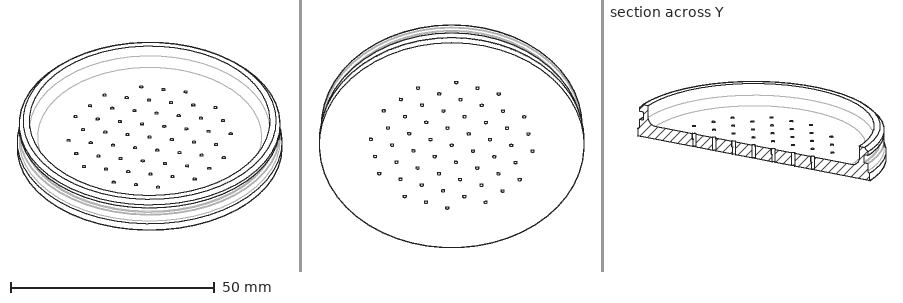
import cadquery as cq
import math

height = 8.5
flange_radius = 32.5
flange_height = 2.0
body_radius = 64.0 / 2
cove_radius = flange_radius - body_radius
rim_bevel = 1.0

groove_radius = 61.8 / 2
groove_bottom = 4.5
groove_top = 6.5
groove_fillet = 0.2
lip_fillet = 0.1

recess_radius = 59.0 / 2
floor_height = 3.45
floor_fillet = 2.0

hole_diameter = 0.8
hole_pitch = 5.5
pattern_radius = 3.8 * hole_pitch


def make_body():
    """Revolve the half section, with a concave cove above the flange and a bevelled rim."""
    cove_reach = cove_radius * (1 - math.sqrt(0.5))
    return (
        cq.Workplane("XZ")
        .lineTo(flange_radius, 0)
        .lineTo(flange_radius, flange_height)
        .threePointArc(
            (body_radius + cove_reach, flange_height + cove_reach),
            (body_radius, flange_height + cove_radius),
        )
        .lineTo(body_radius, height - rim_bevel)
        .lineTo(body_radius - rim_bevel, height)
        .lineTo(0, height)
        .close()
        .revolve(360, (0, 0, 0), (0, 1, 0))
    )


def make_groove():
    """Ring whose inner corners are rounded to form the groove root."""
    return (
        cq.Workplane("XY", origin=(0, 0, groove_bottom))
        .circle(flange_radius)
        .circle(groove_radius)
        .extrude(groove_top - groove_bottom)
        .edges(cq.selectors.RadiusNthSelector(0))
        .fillet(groove_fillet)
    )


def round_groove_lips(body):
    """Round the two outer edges where the groove opens onto the body."""
    lips = cq.selectors.BoxSelector(
        (-flange_radius, -flange_radius, groove_bottom - lip_fillet),
        (flange_radius, flange_radius, groove_top + lip_fillet),
        boundingbox=True,
    )
    outermost = cq.selectors.RadiusNthSelector(-1)
    return body.edges(lips).edges("%CIRCLE").edges(outermost).fillet(lip_fillet)


def make_recess():
    """Disc with a rounded lower edge, open at the top of the body."""
    return (
        cq.Workplane("XY", origin=(0, 0, floor_height))
        .circle(recess_radius)
        .extrude(height - floor_height)
        .faces("<Z")
        .edges()
        .fillet(floor_fillet)
    )


def hole_centres():
    """Hexagonal grid points around the centre; odd rows are shifted by half a pitch."""
    row_pitch = hole_pitch * math.sqrt(3) / 2
    steps = math.ceil(pattern_radius / row_pitch)
    centres = []
    for row in range(-steps, steps + 1):
        shift = 0.5 * (row % 2)
        for column in range(-steps, steps + 1):
            x = (column + shift) * hole_pitch
            y = row * row_pitch
            if math.hypot(x, y) < pattern_radius:
                centres.append((x, y))
    return centres


def make_holes():
    """Pins that cut the holes through the floor."""
    return (
        cq.Workplane("XY")
        .pushPoints(hole_centres())
        .circle(hole_diameter / 2)
        .extrude(height)
    )


grooved_body = round_groove_lips(make_body().cut(make_groove()))
result = grooved_body.cut(make_recess()).cut(make_holes())